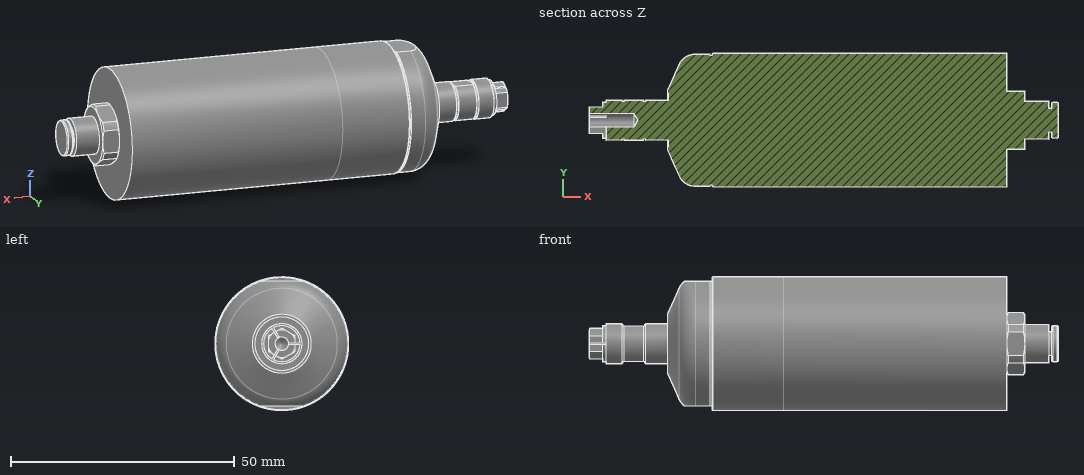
import cadquery as cq
import math

COLLET_NECK_START = 3.0
SPINDLE_COLLAR_START = 3.8
WRENCH_FLAT_START = 7.6
WRENCH_FLAT_END = 12.4
NOSE_FACE = 17.5
NOSE_SHOULDER = 27.1
BODY_START = 27.5
BODY_JOINT = 43.5
BODY_END = 93.5
REAR_HEX_END = BODY_END + 4.0
REAR_STUB_END = BODY_END + 9.4
REAR_FLANGE_START = BODY_END + 10.0
PART_LENGTH = 105.01

BODY_DIAMETER = 30.0
NOSE_DIAMETER = 29.6
NOSE_FACE_DIAMETER = 13.2
NOSE_CONE_ANGLE = 66.0
NOSE_FILLET_RADIUS = 4.0
NOSE_FLATS_WIDTH = 28.0
BODY_CHAMFER = 0.2
SHOULDER_GROOVE_DIAMETER = 29.2
NOSE_RECESS_DIAMETER = 12.0
NOSE_RECESS_DEPTH = 0.2

SPINDLE_DIAMETER = 9.0
SPINDLE_GROOVE_DIAMETER = 8.56
SPINDLE_GROOVE_WIDTH = 0.5
SPINDLE_FLATS_WIDTH = 8.0
COLLET_NECK_DIAMETER = 8.1
COLLET_HEX_WIDTH = 6.0
COLLET_TIP_DIAMETER = 6.2
COLLET_TIP_CHAMFER_LENGTH = 0.15
COLLET_BORE_DIAMETER = 3.0
COLLET_BORE_DEPTH = 10.0
DRILL_POINT_ANGLE = 118.0
COLLET_SLOT_WIDTH = 0.4
COLLET_SLOT_COUNT = 3

REAR_HEX_WIDTH = 13.0
REAR_HEX_CORNER_DIAMETER = 14.0
REAR_HEX_CHAMFER_LENGTH = 0.3
REAR_STUB_DIAMETER = 8.6
REAR_GROOVE_DIAMETER = 5.4
REAR_FLANGE_DIAMETER = 8.1
REAR_FLANGE_CHAMFER_LENGTH = 0.3
REAR_FLANGE_CHAMFER_DEPTH = 0.15


def cylinder(diameter, start, end):
    """Round bar on the X axis between two stations."""
    return cq.Workplane("YZ", origin=(start, 0, 0)).circle(diameter / 2).extrude(end - start)


def across_corners(width):
    """Corner-to-corner size of a regular hexagon with the given width across flats."""
    return width / math.cos(math.radians(30))


def hexagon(width, start, end):
    """Hexagonal bar on the X axis with two flats facing +Y and -Y."""
    plane = cq.Workplane("YZ", origin=(start, 0, 0))
    return plane.transformed(rotate=(0, 0, 30)).polygon(6, across_corners(width)).extrude(end - start)


def flatted(solid, width, start, end):
    """Cut two flats facing +Z and -Z, a given width apart, between two stations."""
    length = end - start
    for side in (1, -1):
        cutter = cq.Workplane("XY").box(length, BODY_DIAMETER, BODY_DIAMETER)
        cutter = cutter.translate((start + length / 2, 0, side * (width + BODY_DIAMETER) / 2))
        solid = solid.cut(cutter)
    return solid


def make_nose():
    """Cone rounded into a cylinder, then a narrow groove; two flats and a shallow face recess."""
    radius = NOSE_DIAMETER / 2
    face_radius = NOSE_FACE_DIAMETER / 2
    angle = math.radians(NOSE_CONE_ANGLE)
    cone_end_radius = radius - NOSE_FILLET_RADIUS * (1 - math.cos(angle))
    cone_end = NOSE_FACE + (cone_end_radius - face_radius) / math.tan(angle)
    fillet_end = cone_end + NOSE_FILLET_RADIUS * math.sin(angle)
    half_angle = angle / 2
    fillet_middle = (
        fillet_end - NOSE_FILLET_RADIUS * math.sin(half_angle),
        radius - NOSE_FILLET_RADIUS * (1 - math.cos(half_angle)),
    )
    nose = (
        cq.Workplane("XY")
        .moveTo(NOSE_FACE, 0)
        .lineTo(NOSE_FACE, face_radius)
        .lineTo(cone_end, cone_end_radius)
        .threePointArc(fillet_middle, (fillet_end, radius))
        .lineTo(NOSE_SHOULDER, radius)
        .lineTo(NOSE_SHOULDER, 0)
        .close()
        .revolve(360, (0, 0, 0), (1, 0, 0))
    )
    nose = nose.union(cylinder(SHOULDER_GROOVE_DIAMETER, NOSE_SHOULDER, BODY_START))
    nose = flatted(nose, NOSE_FLATS_WIDTH, NOSE_FACE, BODY_START)
    return nose.cut(cylinder(NOSE_RECESS_DIAMETER, NOSE_FACE, NOSE_FACE + NOSE_RECESS_DEPTH))


def make_body():
    """Two plain sleeves of equal diameter, the front one with a small chamfer."""
    front_sleeve = cylinder(BODY_DIAMETER, BODY_START, BODY_JOINT).faces("<X").chamfer(BODY_CHAMFER)
    rear_sleeve = cylinder(BODY_DIAMETER, BODY_JOINT, BODY_END)
    return front_sleeve.union(rear_sleeve, clean=False)


def make_spindle():
    """Spindle with wrench flats between two narrow grooves."""
    spindle = cylinder(SPINDLE_DIAMETER, SPINDLE_COLLAR_START, NOSE_SHOULDER)
    spindle = flatted(spindle, SPINDLE_FLATS_WIDTH, WRENCH_FLAT_START, WRENCH_FLAT_END)
    for station in (WRENCH_FLAT_START, WRENCH_FLAT_END):
        start = station - SPINDLE_GROOVE_WIDTH / 2
        end = station + SPINDLE_GROOVE_WIDTH / 2
        ring = cylinder(SPINDLE_DIAMETER, start, end).cut(cylinder(SPINDLE_GROOVE_DIAMETER, start, end))
        spindle = spindle.cut(ring)
    return spindle


def make_collet():
    """Hexagonal collet tip with chamfered corners on a round neck."""
    neck = cylinder(COLLET_NECK_DIAMETER, COLLET_NECK_START, SPINDLE_COLLAR_START)
    corner_diameter = across_corners(COLLET_HEX_WIDTH)
    chamfer_depth = (corner_diameter - COLLET_TIP_DIAMETER) / 2
    envelope = (
        cylinder(corner_diameter, 0, COLLET_NECK_START)
        .faces("<X")
        .chamfer(COLLET_TIP_CHAMFER_LENGTH, chamfer_depth)
    )
    tip = hexagon(COLLET_HEX_WIDTH, 0, COLLET_NECK_START).intersect(envelope)
    return tip.union(neck)


def make_collet_bore():
    """Blind drilled hole with a conical bottom."""
    radius = COLLET_BORE_DIAMETER / 2
    point_length = radius / math.tan(math.radians(DRILL_POINT_ANGLE / 2))
    return (
        cq.Workplane("XY")
        .polyline(
            [(0, 0), (0, radius), (COLLET_BORE_DEPTH, radius), (COLLET_BORE_DEPTH + point_length, 0)]
        )
        .close()
        .revolve(360, (0, 0, 0), (1, 0, 0))
    )


def make_collet_slots():
    """Radial slots through the collet, the first one facing -Y."""
    reach = COLLET_NECK_DIAMETER / 2
    length = SPINDLE_COLLAR_START
    slot = cq.Workplane("XY").box(length, reach, COLLET_SLOT_WIDTH).translate((length / 2, -reach / 2, 0))
    slots = cq.Workplane("XY")
    for index in range(COLLET_SLOT_COUNT):
        slots = slots.add(slot.rotate((0, 0, 0), (1, 0, 0), index * 360 / COLLET_SLOT_COUNT))
    return slots.combine()


def make_rear_hex():
    """Hexagonal nut with rounded corners and both ends chamfered."""
    corner_radius = REAR_HEX_CORNER_DIAMETER / 2
    chamfer_depth = corner_radius - REAR_HEX_WIDTH / 2
    envelope = (
        cylinder(REAR_HEX_CORNER_DIAMETER, BODY_END, REAR_HEX_END)
        .faces(">X or <X")
        .chamfer(REAR_HEX_CHAMFER_LENGTH, chamfer_depth)
    )
    return hexagon(REAR_HEX_WIDTH, BODY_END, REAR_HEX_END).intersect(envelope)


def make_rear_fitting():
    """Stub, groove and end flange behind the nut."""
    stub = cylinder(REAR_STUB_DIAMETER, REAR_HEX_END, REAR_STUB_END)
    groove = cylinder(REAR_GROOVE_DIAMETER, REAR_STUB_END, REAR_FLANGE_START)
    flange = cylinder(REAR_FLANGE_DIAMETER, REAR_FLANGE_START, PART_LENGTH)
    flange = flange.faces("<X or >X").chamfer(REAR_FLANGE_CHAMFER_LENGTH, REAR_FLANGE_CHAMFER_DEPTH)
    return make_rear_hex().union(stub).union(groove).union(flange)


front = make_nose().union(make_spindle()).union(make_collet())
front = front.cut(make_collet_slots()).cut(make_collet_bore())
rear = make_body().union(make_rear_fitting(), clean=False)
result = front.union(rear, clean=False)